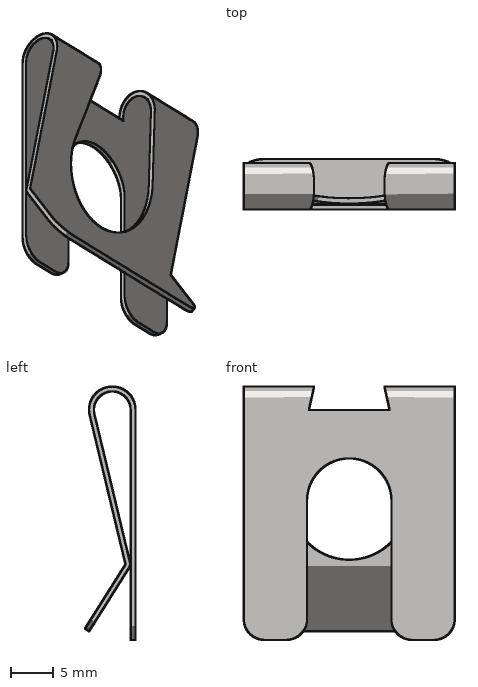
import cadquery as cq
import math

width = 25.0
height = 30.02
depth = 6.0
sheet = 0.6

fold_radius = 2.75
fold_y = fold_radius
fold_z = height - fold_radius

elbow_inner_radius = 0.25
elbow_outer_radius = elbow_inner_radius + sheet
contact_gap = 0.03
elbow_y = sheet + contact_gap + elbow_outer_radius
elbow_z = 9.0

opening_z = 16.5
slot_radius = 4.98
leg_hole_radius = 7.0
neck_half_width = 4.15
corner_radius = 2.5

center_distance = math.hypot(fold_y - elbow_y, fold_z - elbow_z)
tangent_offset = fold_radius - sheet + elbow_outer_radius
leg_angle = math.asin(tangent_offset / center_distance) + math.atan2(fold_y - elbow_y, fold_z - elbow_z)

tail_angle = math.radians(32.2)
tail_reach = depth - elbow_y + elbow_inner_radius * math.cos(tail_angle)
tail_length = tail_reach / math.sin(tail_angle)


def fold_point(radius, angle):
    return (fold_y + radius * math.cos(angle), fold_z + radius * math.sin(angle))


def elbow_point(radius, angle):
    return (elbow_y + radius * math.cos(angle), elbow_z + radius * math.sin(angle))


def tail_end(radius):
    y, z = elbow_point(radius, math.pi + tail_angle)
    return (y + tail_length * math.sin(tail_angle), z - tail_length * math.cos(tail_angle))


def make_strip():
    """Bent sheet profile, extruded across the width, with rounded tail corners."""
    inner_fold = fold_radius - sheet
    leg_side = math.pi - leg_angle
    tail_side = math.pi + tail_angle
    elbow_middle = (leg_side + tail_side) / 2
    strip = (
        cq.Workplane("YZ")
        .moveTo(0, 0)
        .lineTo(0, fold_z)
        .threePointArc(fold_point(fold_radius, math.pi / 2), fold_point(fold_radius, -leg_angle))
        .lineTo(*elbow_point(elbow_inner_radius, leg_side))
        .threePointArc(
            elbow_point(elbow_inner_radius, elbow_middle),
            elbow_point(elbow_inner_radius, tail_side),
        )
        .lineTo(*tail_end(elbow_inner_radius))
        .lineTo(*tail_end(elbow_outer_radius))
        .lineTo(*elbow_point(elbow_outer_radius, tail_side))
        .threePointArc(
            elbow_point(elbow_outer_radius, elbow_middle),
            elbow_point(elbow_outer_radius, leg_side),
        )
        .lineTo(*fold_point(inner_fold, -leg_angle))
        .threePointArc(fold_point(inner_fold, math.pi / 2), (sheet, fold_z))
        .lineTo(sheet, 0)
        .close()
        .extrude(width / 2, both=True)
    )
    tail_normal = cq.Vector(0, math.cos(tail_angle), math.sin(tail_angle))
    return strip.edges(cq.selectors.ParallelDirSelector(tail_normal)).fillet(corner_radius)


def cut_plate_slot(body):
    """Round-topped slot, open at the bottom, leaving two rounded prongs."""
    slot = (
        cq.Workplane("XZ")
        .moveTo(-slot_radius, 0)
        .lineTo(-slot_radius, opening_z)
        .threePointArc((0, opening_z + slot_radius), (slot_radius, opening_z))
        .lineTo(slot_radius, 0)
        .close()
        .extrude(-sheet)
    )
    return body.cut(slot).faces("<Z").edges("|Y").fillet(corner_radius)


def make_keyhole(start_y):
    """Round hole whose tangent sides taper into a narrow neck at the top."""
    neck_height = height - opening_z
    neck_distance = math.hypot(neck_half_width, neck_height)
    tangent_angle = math.atan2(neck_height, neck_half_width) - math.acos(leg_hole_radius / neck_distance)
    tangent_x = leg_hole_radius * math.cos(tangent_angle)
    tangent_z = opening_z + leg_hole_radius * math.sin(tangent_angle)
    return (
        cq.Workplane("XZ", origin=(0, start_y, 0))
        .moveTo(-neck_half_width, height)
        .lineTo(-tangent_x, tangent_z)
        .threePointArc((0, opening_z - leg_hole_radius), (tangent_x, tangent_z))
        .lineTo(neck_half_width, height)
        .close()
        .extrude(start_y - depth)
    )


def cut_leg_keyhole(body):
    """Open the leg and the whole fold while leaving the flat plate intact."""
    above_plate = cq.Workplane("XY", origin=(0, 0, fold_z)).rect(width, 2 * depth).extrude(fold_radius)
    fold_opening = make_keyhole(0).intersect(above_plate)
    return body.cut(make_keyhole(sheet)).cut(fold_opening)


result = cut_leg_keyhole(cut_plate_slot(make_strip()))